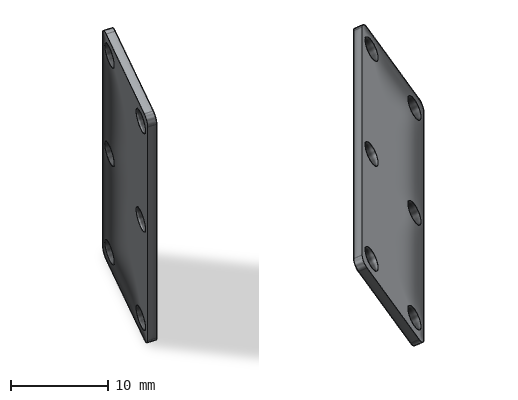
import cadquery as cq

height = 39.0
width = 13.0
thickness = 1.0
corner_radius = 1.0

hole_diameter = 2.73
column_spacing = 9.0
row_spacing = 17.0
column_count = 2
row_count = 3

plate = cq.Workplane("XY").box(width, thickness, height).edges("|Y").fillet(corner_radius)

result = (
    plate.faces("<Y")
    .workplane(centerOption="CenterOfBoundBox")
    .rarray(column_spacing, row_spacing, column_count, row_count)
    .hole(hole_diameter)
)